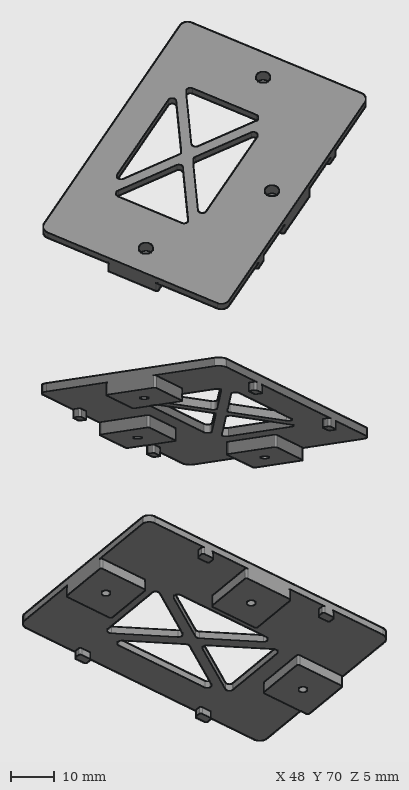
import cadquery as cq
import math

plate_length = 70.0
plate_width = 48.0
plate_thickness = 2.0
plate_corner_radius = 2.0

block_side = 13.0
block_bottom = 5.0
block_corner_radius = 0.5
screw_diameter = 2.0
head_diameter = 3.3
head_depth = 3.0

foot_width = 2.0
foot_length = 3.3
foot_bottom = 4.0
foot_spacing = 34.85
foot_corner_radius = 0.5

window_width = 23.0
window_length = 36.05
window_center_x = -4.5
bar_width = 2.45
window_corner_radius = 1.0

block_edge_x = (plate_width - block_side) / 2
block_edge_y = (plate_length - block_side) / 2
block_centers = [(0, block_edge_y), (0, -block_edge_y), (block_edge_x, 0)]

foot_x = (plate_width - foot_width) / 2
foot_y = foot_spacing / 2
foot_centers = [(side * foot_x, end * foot_y) for side in (-1, 1) for end in (-1, 1)]


def rounded_pads(centers, width, length, bottom, radius):
    """Rectangular pads with rounded vertical edges, from the plate top down to the given depth."""
    return (
        cq.Workplane("XY")
        .pushPoints(centers)
        .rect(width, length)
        .extrude(-bottom)
        .edges("|Z")
        .fillet(radius)
    )


def window_cutter():
    """Four rounded triangles left between the diagonal bars of the window."""
    opening = (
        cq.Workplane("XY")
        .rect(window_width, window_length)
        .extrude(-plate_thickness)
    )
    diagonal = math.hypot(window_width, window_length)
    angle = math.degrees(math.atan2(window_length, window_width))
    for direction in (-1, 1):
        bar = (
            cq.Workplane("XY")
            .rect(2 * diagonal, bar_width)
            .extrude(-plate_thickness)
            .rotate((0, 0, 0), (0, 0, 1), direction * angle)
        )
        opening = opening.cut(bar)
    return opening.edges("|Z").fillet(window_corner_radius).translate((window_center_x, 0, 0))


plate = (
    cq.Workplane("XY")
    .rect(plate_width, plate_length)
    .extrude(-plate_thickness)
    .edges("|Z")
    .fillet(plate_corner_radius)
)
blocks = rounded_pads(block_centers, block_side, block_side, block_bottom, block_corner_radius)
feet = rounded_pads(foot_centers, foot_width, foot_length, foot_bottom, foot_corner_radius)

result = plate.union(blocks).union(feet).cut(window_cutter())

result = (
    result.faces(">Z")
    .workplane(origin=(0, 0, 0))
    .pushPoints(block_centers)
    .cboreHole(screw_diameter, head_diameter, head_depth)
)